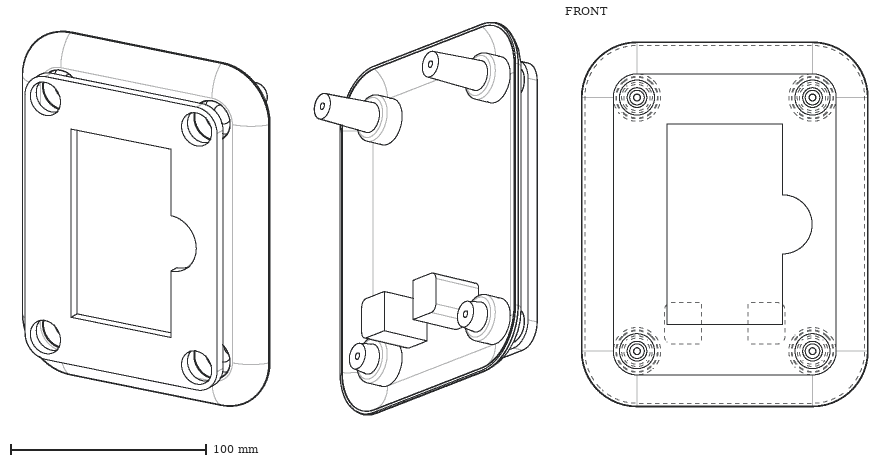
import cadquery as cq
import math

WIDTH = 147.0
HEIGHT = 187.1

SCREW_PITCH_X = 90.0
SCREW_PITCH_Z = HEIGHT - (WIDTH - SCREW_PITCH_X)
OUTER_CORNER_RADIUS = (WIDTH - SCREW_PITCH_X) / 2
FLAT_CORNER_RADIUS = 12.2
FLAT_WIDTH = SCREW_PITCH_X + 2 * FLAT_CORNER_RADIUS
FLAT_HEIGHT = SCREW_PITCH_Z + 2 * FLAT_CORNER_RADIUS

WALL = 2.0
CURVE_DEPTH = 9.5
SHELL_DEPTH = 11.0
LIP_INSET = 0.4
RIM_SPREAD = OUTER_CORNER_RADIUS - FLAT_CORNER_RADIUS

CUP_RADIUS = 10.5
CUP_DEPTH = 10.5
CUP_MOUTH_CHAMFER = 0.4
CUP_BACK = 13.5
CUP_FILLET = 1.7
POST_BASE_RADIUS = 7.9
POST_TIP_RADIUS = 6.7
UPPER_POST_TIP = 44.5
LOWER_POST_TIP = 21.7
BORE_MOUTH_RADIUS = 5.0
BORE_END_RADIUS = 3.7
POST_END_WALL = CUP_BACK - CUP_DEPTH
SCREW_HOLE_RADIUS = 1.7

BLOCK_INNER_X = 12.0
BLOCK_WIDTH = 18.9
BLOCK_HEIGHT = 21.1
BLOCK_CENTRE_Z = -50.7
BLOCK_BACK = 30.0
BLOCK_CORNER_RADIUS = 3.7

PLATE_THICKNESS = 6.0
PLATE_GAP = 9.5
PLATE_HOLE_RADIUS = 9.0
WINDOW_WIDTH = 59.3
WINDOW_HEIGHT = 102.7
THUMB_NOTCH_RADIUS = 15.2


def plane_at(y):
    """Plane facing +Y at depth y; its local x is -X and its local y is +Z."""
    return cq.Workplane(cq.Plane((0, y, 0), (-1, 0, 0), (0, 1, 0)))


def rounded_slab(y_front, thickness):
    """Rounded rectangle the size of the flat front face, starting at y_front."""
    slab = plane_at(y_front).rect(FLAT_WIDTH, FLAT_HEIGHT).extrude(thickness)
    return slab.edges("|Y").fillet(FLAT_CORNER_RADIUS)


def cylinder(x, z, radius, y_front, y_back):
    return plane_at(y_front).center(-x, z).circle(radius).extrude(y_back - y_front)


def cone(x, z, front_radius, back_radius, y_front, y_back):
    axis_start = cq.Vector(x, y_front, z)
    axis = cq.Vector(0, 1, 0)
    return cq.Workplane(cq.Solid.makeCone(front_radius, back_radius, y_back - y_front, axis_start, axis))


def screw_positions():
    return [
        (side * SCREW_PITCH_X / 2, level * SCREW_PITCH_Z / 2)
        for side in (-1, 1)
        for level in (-1, 1)
    ]


def rim():
    """Curved wall swept around the flat face: concentric arcs, tangent to the front."""
    sweep_angle = 2 * math.atan(CURVE_DEPTH / RIM_SPREAD)
    outer_radius = RIM_SPREAD / math.sin(sweep_angle)
    inner_radius = outer_radius - WALL

    def arc_point(radius, angle):
        out = FLAT_WIDTH / 2 + radius * math.sin(angle)
        depth = outer_radius - radius * math.cos(angle)
        return (out, depth)

    outer_end = arc_point(outer_radius, sweep_angle)
    inner_end = arc_point(inner_radius, sweep_angle)
    lip_x = outer_end[0] - LIP_INSET
    section = (
        cq.Workplane("XY")
        .moveTo(*arc_point(outer_radius, 0))
        .threePointArc(arc_point(outer_radius, sweep_angle / 2), outer_end)
        .lineTo(lip_x, CURVE_DEPTH)
        .lineTo(lip_x, SHELL_DEPTH)
        .lineTo(inner_end[0], SHELL_DEPTH)
        .lineTo(*inner_end)
        .threePointArc(arc_point(inner_radius, sweep_angle / 2), arc_point(inner_radius, 0))
        .close()
    )
    return section.sweep(flat_outline_path())


def flat_outline_path():
    """Outline of the flat face, starting at the middle of its +X side."""
    side_x = FLAT_WIDTH / 2
    side_z = FLAT_HEIGHT / 2
    centre_x = SCREW_PITCH_X / 2
    centre_z = SCREW_PITCH_Z / 2
    radius = FLAT_CORNER_RADIUS
    diagonal = radius * math.sqrt(0.5)
    path = cq.Workplane(cq.Plane((0, 0, 0), (1, 0, 0), (0, -1, 0))).moveTo(side_x, 0)
    return (
        path.lineTo(side_x, centre_z)
        .threePointArc((centre_x + diagonal, centre_z + diagonal), (centre_x, side_z))
        .lineTo(-centre_x, side_z)
        .threePointArc((-centre_x - diagonal, centre_z + diagonal), (-side_x, centre_z))
        .lineTo(-side_x, -centre_z)
        .threePointArc((-centre_x - diagonal, -centre_z - diagonal), (-centre_x, -side_z))
        .lineTo(centre_x, -side_z)
        .threePointArc((centre_x + diagonal, -centre_z - diagonal), (side_x, -centre_z))
        .close()
    )


def support_block(side):
    """Block behind the front wall; its two outer corners are rounded."""
    centre_x = side * (BLOCK_INNER_X + BLOCK_WIDTH / 2)
    block = (
        plane_at(WALL)
        .center(-centre_x, BLOCK_CENTRE_Z)
        .rect(BLOCK_WIDTH, BLOCK_HEIGHT)
        .extrude(BLOCK_BACK - WALL)
    )
    outer_face = ">X" if side > 0 else "<X"
    return block.faces(outer_face).edges("|Y").fillet(BLOCK_CORNER_RADIUS)


def screw_post(x, z, tip):
    """Cup body with its rounded back edge, and the tapered post behind it."""
    cup = cylinder(x, z, FLAT_CORNER_RADIUS, 0, CUP_BACK).faces(">Y").edges().fillet(CUP_FILLET)
    return cup.union(cone(x, z, POST_BASE_RADIUS, POST_TIP_RADIUS, CUP_BACK, tip))


def screw_bore(x, z, tip):
    """Open cup with a chamfered mouth, tapered bore down the post, and the screw hole through its end."""
    bore_end = tip - POST_END_WALL
    cup = cylinder(x, z, CUP_RADIUS, 0, CUP_DEPTH)
    mouth = cone(x, z, CUP_RADIUS + CUP_MOUTH_CHAMFER, CUP_RADIUS, 0, CUP_MOUTH_CHAMFER)
    bore = cone(x, z, BORE_MOUTH_RADIUS, BORE_END_RADIUS, CUP_DEPTH, bore_end)
    return cup.union(mouth).union(bore).union(cylinder(x, z, SCREW_HOLE_RADIUS, CUP_DEPTH, tip))


def make_housing():
    body = rounded_slab(0, WALL).union(rim())
    for side in (-1, 1):
        body = body.union(support_block(side))
    for x, z in screw_positions():
        tip = UPPER_POST_TIP if z > 0 else LOWER_POST_TIP
        body = body.union(screw_post(x, z, tip)).cut(screw_bore(x, z, tip))
    return body


def make_cover_plate():
    y_back = -PLATE_GAP
    y_front = y_back - PLATE_THICKNESS
    plate = rounded_slab(y_front, PLATE_THICKNESS)
    window = plane_at(y_front).rect(WINDOW_WIDTH, WINDOW_HEIGHT).extrude(PLATE_THICKNESS)
    thumb_notch = cylinder(WINDOW_WIDTH / 2, 0, THUMB_NOTCH_RADIUS, y_front, y_back)
    plate = plate.cut(window).cut(thumb_notch)
    for x, z in screw_positions():
        plate = plate.cut(cylinder(x, z, PLATE_HOLE_RADIUS, y_front, y_back))
    return plate


housing = make_housing()
cover_plate = make_cover_plate()

result = cq.Compound.makeCompound([*housing.solids().vals(), *cover_plate.solids().vals()])